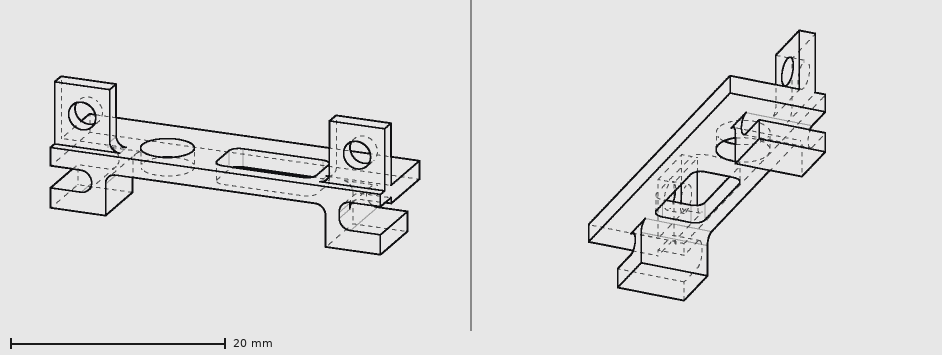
import cadquery as cq

length = 33.2
plate_depth = 9.7
plate_thickness = 1.83
total_height = 12.2

end_width = 5.55
corner_radius = 1.0
foot_depth = 6.75
foot_base = 2.0
slot_height = 2.2
slot_length = 4.15
relief_height = 0.6
tab_front = 1.03
tab_thickness = 1.63
relief_depth = tab_front + tab_thickness
tab_hole_diameter = 2.72
tab_hole_below_top = 3.02

opening_center_y = 4.0
round_hole_x = 10.15
round_hole_diameter = 5.0
window_x = 20.75
window_length = 10.03
window_width = 4.9

plate_bottom = foot_base + slot_height
plate_top = plate_bottom + plate_thickness


def box(x, y, z, size_x, size_y, size_z):
    """Box placed by its lowest corner."""
    return cq.Workplane("XY").box(size_x, size_y, size_z, centered=False).translate((x, y, z))


def end_fillet(side, front, depth, plate_face, direction):
    """Concave fillet between the inner side of an end block and a plate face.

    side is +1 at the left end and -1 at the right; direction is +1 above the plate, -1 below.
    """
    corner_x = end_width if side > 0 else length - end_width
    out_x = corner_x + side * corner_radius
    out_z = plate_face + direction * corner_radius
    web = box(
        min(corner_x, out_x), front, min(plate_face, out_z),
        corner_radius, depth, corner_radius,
    )
    round_cut = (
        cq.Workplane("XZ", origin=(out_x, front, out_z))
        .circle(corner_radius)
        .extrude(-depth)
    )
    return web.cut(round_cut)


def round_slot(side, bottom, depth):
    """Slot open at the plate end, with a full round at its inner end."""
    radius = slot_height / 2
    straight_length = slot_length - radius
    start_x = 0 if side > 0 else length - straight_length
    round_x = straight_length if side > 0 else length - straight_length
    inner_round = cq.Workplane("XZ", origin=(round_x, 0, bottom + radius)).circle(radius).extrude(-depth)
    return box(start_x, 0, bottom, straight_length, depth, slot_height).union(inner_round)


def relief_pocket():
    """Taller front part of the right slot, cut up into the plate."""
    raised_slot = round_slot(-1, foot_base + relief_height, relief_depth)
    start_x = length - slot_length
    inner_wall = box(start_x, 0, foot_base + slot_height / 2, slot_length, relief_depth, relief_height)
    return raised_slot.union(inner_wall)


def add_end(body, side):
    """Add the foot and tab at one end, then cut the slot and the tab hole."""
    start_x = 0 if side > 0 else length - end_width
    foot = box(start_x, 0, 0, end_width, foot_depth, plate_bottom)
    tab = box(start_x, tab_front, plate_top, end_width, tab_thickness, total_height - plate_top)
    hole = (
        cq.Workplane("XZ", origin=(start_x + end_width / 2, 0, total_height - tab_hole_below_top))
        .circle(tab_hole_diameter / 2)
        .extrude(-plate_depth)
    )
    body = body.union(foot).union(tab)
    body = body.union(end_fillet(side, 0, foot_depth, plate_bottom, -1))
    body = body.union(end_fillet(side, tab_front, tab_thickness, plate_top, 1))
    return body.cut(round_slot(side, foot_base, foot_depth)).cut(hole)


def plate_openings():
    """Round hole and rounded rectangular window."""
    bottom = cq.Workplane("XY", origin=(0, opening_center_y, plate_bottom))
    round_hole = bottom.center(round_hole_x, 0).circle(round_hole_diameter / 2).extrude(plate_thickness)
    window = bottom.center(window_x, 0).rect(window_length, window_width).extrude(plate_thickness)
    return round_hole.union(window.edges("|Z").fillet(corner_radius))


body = box(0, 0, plate_bottom, length, plate_depth, plate_thickness)
body = add_end(body, 1)
body = add_end(body, -1)
result = body.cut(relief_pocket()).cut(plate_openings())